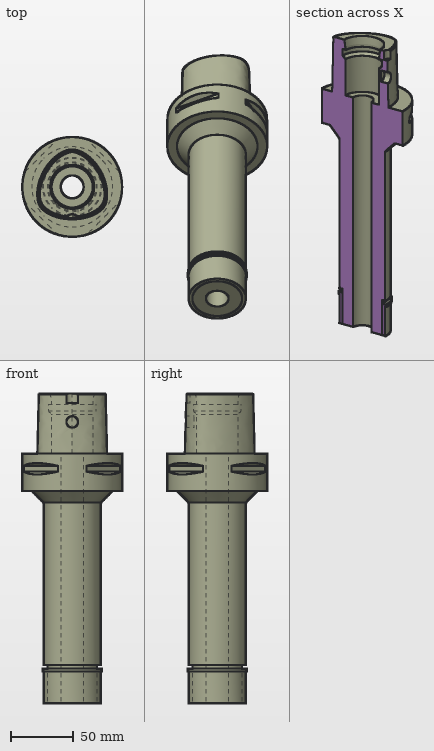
import cadquery as cq
import math

TOTAL_HEIGHT = 248.0
SHANK_BOTTOM = 30.5
NUT_HEIGHT = 27.8
NUT_COLLAR_HEIGHT = 2.2

TAPER_HEIGHT = 48.0
FLANGE_DIAMETER = 80.0
FLANGE_HEIGHT = 30.0
CONE_TOP_DIAMETER = 64.5

SHANK_DIAMETER = 46.0
NECK_DIAMETER = 40.0
NUT_DIAMETER = SHANK_DIAMETER
NUT_COLLAR_DIAMETER = 47.4
THROUGH_BORE_DIAMETER = 18.0

COUPLING_BASE_RADIUS = 28.0
COUPLING_TAPER = 1 / 20
LOBE_HEIGHT = 2.0
LOBE_COUNT = 3
COUPLING_CHAMFER = 1.0
HALF_CURVE_SPANS = 36

SOCKET_MOUTH_DIAMETER = 35.2
SOCKET_DIAMETER = 33.0
GROOVE_DIAMETER = 38.2
MOUTH_DEPTH = 6.7
GROOVE_TOP_DEPTH = 9.0
GROOVE_CONE_DEPTH = 14.1
GROOVE_BOTTOM_DEPTH = GROOVE_CONE_DEPTH + (GROOVE_DIAMETER - SOCKET_DIAMETER) / 2
SOCKET_DEPTH = TAPER_HEIGHT

NOTCH_DIAMETER = 10.2
NOTCH_DEPTH = 7.7
NOTCH_INNER_Y = -21.8
HOLE_DIAMETER = 9.2
HOLE_BELOW_TOP = 22.8
HOLE_FLOOR_Y = -18.5

SLOT_COUNT = 4
SLOT_FIRST_ANGLE = 45
SLOT_BELOW_FLANGE_TOP = 12.2
SLOT_FLOOR_RADIUS = 35.2
SLOT_FLOOR_HEIGHT = 4.5
SLOT_MOUTH_HEIGHT = 9.2

FLANGE_TOP = TOTAL_HEIGHT - TAPER_HEIGHT
FLANGE_BOTTOM = FLANGE_TOP - FLANGE_HEIGHT
CONE_BOTTOM = FLANGE_BOTTOM - (CONE_TOP_DIAMETER - SHANK_DIAMETER) / 2
FLANGE_RADIUS = FLANGE_DIAMETER / 2


def revolved(profile):
    """Turn a closed outline of (radius, height) points about the Z axis."""
    return cq.Workplane("XZ").polyline(profile).close().revolve(360, (0, 0), (0, 1))


def cylinder(diameter, bottom, top):
    return cq.Workplane().workplane(offset=bottom).circle(diameter / 2).extrude(top - bottom)


def lobed_outline(mean_radius, height):
    """Right and left halves of a three-lobed curve of constant width, one lobe along +Y."""

    def point(angle):
        lobe_phase = LOBE_COUNT * (angle - math.pi / 2)
        reach = mean_radius + LOBE_HEIGHT * math.cos(lobe_phase)
        slope = -LOBE_COUNT * LOBE_HEIGHT * math.sin(lobe_phase)
        x = reach * math.cos(angle) - slope * math.sin(angle)
        y = reach * math.sin(angle) + slope * math.cos(angle)
        return cq.Vector(x, y, height)

    step = math.pi / HALF_CURVE_SPANS
    points = [point(-math.pi / 2 + i * step) for i in range(HALF_CURVE_SPANS + 1)]
    right_half = cq.Edge.makeSpline(points)
    return [right_half, right_half.mirror("YZ")]


def make_coupling():
    """Tapered coupling with a chamfered top, its sides straight from outline to outline."""
    chamfer_bottom = TOTAL_HEIGHT - COUPLING_CHAMFER
    radius_lost = (chamfer_bottom - FLANGE_TOP) * COUPLING_TAPER / 2
    upper_radius = COUPLING_BASE_RADIUS - radius_lost
    base = lobed_outline(COUPLING_BASE_RADIUS, FLANGE_TOP)
    upper = lobed_outline(upper_radius, chamfer_bottom)
    top = lobed_outline(upper_radius - COUPLING_CHAMFER, TOTAL_HEIGHT)
    faces = [cq.Face.makeFromWires(cq.Wire.assembleEdges(outline)) for outline in (base, top)]
    for lower_outline, higher_outline in ((base, upper), (upper, top)):
        for lower_half, higher_half in zip(lower_outline, higher_outline):
            faces.append(cq.Face.makeRuledSurface(lower_half, higher_half))
    return cq.Workplane(cq.Solid.makeSolid(cq.Shell.makeShell(faces)))


def make_turned_body():
    """Flange, cone, shank and the neck that the nut sits on."""
    return revolved([
        (0, 0),
        (NECK_DIAMETER / 2, 0),
        (NECK_DIAMETER / 2, SHANK_BOTTOM),
        (SHANK_DIAMETER / 2, SHANK_BOTTOM),
        (SHANK_DIAMETER / 2, CONE_BOTTOM),
        (CONE_TOP_DIAMETER / 2, FLANGE_BOTTOM),
        (FLANGE_RADIUS, FLANGE_BOTTOM),
        (FLANGE_RADIUS, FLANGE_TOP),
        (0, FLANGE_TOP),
    ])


def make_socket():
    """Flared mouth, straight lip, undercut groove with a conical lower side, straight bore."""
    return revolved([
        (0, TOTAL_HEIGHT),
        (SOCKET_MOUTH_DIAMETER / 2, TOTAL_HEIGHT),
        (SOCKET_DIAMETER / 2, TOTAL_HEIGHT - MOUTH_DEPTH),
        (SOCKET_DIAMETER / 2, TOTAL_HEIGHT - GROOVE_TOP_DEPTH),
        (GROOVE_DIAMETER / 2, TOTAL_HEIGHT - GROOVE_TOP_DEPTH),
        (GROOVE_DIAMETER / 2, TOTAL_HEIGHT - GROOVE_CONE_DEPTH),
        (SOCKET_DIAMETER / 2, TOTAL_HEIGHT - GROOVE_BOTTOM_DEPTH),
        (SOCKET_DIAMETER / 2, TOTAL_HEIGHT - SOCKET_DEPTH),
        (0, TOTAL_HEIGHT - SOCKET_DEPTH),
    ])


def make_key_notch():
    notch_y = NOTCH_INNER_Y - NOTCH_DIAMETER / 2
    notch = cylinder(NOTCH_DIAMETER, TOTAL_HEIGHT - NOTCH_DEPTH, TOTAL_HEIGHT)
    return notch.translate((0, notch_y, 0))


def make_marking_hole():
    return (
        cq.Workplane("XZ", origin=(0, HOLE_FLOOR_Y, TOTAL_HEIGHT - HOLE_BELOW_TOP))
        .circle(HOLE_DIAMETER / 2)
        .extrude(FLANGE_RADIUS + HOLE_FLOOR_Y)
    )


def make_gripper_slot(angle):
    """Flat-floored slot across the flange rim, its sides spreading outwards."""
    middle = FLANGE_TOP - SLOT_BELOW_FLANGE_TOP
    floor_half = SLOT_FLOOR_HEIGHT / 2
    mouth_half = SLOT_MOUTH_HEIGHT / 2
    slot = (
        cq.Workplane("XZ")
        .moveTo(SLOT_FLOOR_RADIUS, middle - floor_half)
        .lineTo(FLANGE_RADIUS, middle - mouth_half)
        .lineTo(FLANGE_RADIUS, middle + mouth_half)
        .lineTo(SLOT_FLOOR_RADIUS, middle + floor_half)
        .close()
        .extrude(FLANGE_RADIUS, both=True)
    )
    return slot.rotate((0, 0, 0), (0, 0, 1), angle)


def make_holder():
    holder = make_turned_body().union(make_coupling())
    holder = holder.cut(make_socket())
    holder = holder.cut(cylinder(THROUGH_BORE_DIAMETER, 0, TOTAL_HEIGHT))
    holder = holder.cut(make_key_notch()).cut(make_marking_hole())
    for i in range(SLOT_COUNT):
        holder = holder.cut(make_gripper_slot(SLOT_FIRST_ANGLE + i * 360 / SLOT_COUNT))
    return holder


def make_nut():
    """Plain sleeve around the neck, with a narrow collar at its upper end."""
    sleeve = cylinder(NUT_DIAMETER, 0, NUT_HEIGHT)
    collar = cylinder(NUT_COLLAR_DIAMETER, NUT_HEIGHT - NUT_COLLAR_HEIGHT, NUT_HEIGHT)
    return sleeve.union(collar).cut(cylinder(NECK_DIAMETER, 0, NUT_HEIGHT))


holder = make_holder()
nut = make_nut()

result = cq.Compound.makeCompound([*holder.solids().vals(), *nut.solids().vals()])